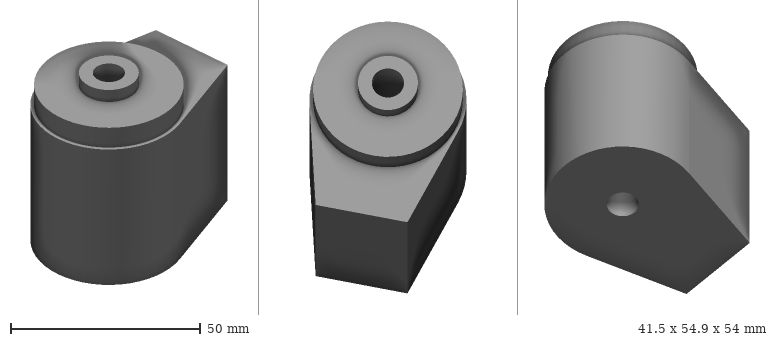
import cadquery as cq
import math

total_length = 54.85
total_height = 53.95

body_diameter = 41.5
body_height = 43.75
back_width = 24.8

collar_diameter = 39.6
collar_height = 6.35
boss_diameter = 15.85
boss_height = total_height - body_height - collar_height

bore_diameter = 8.5

body_radius = body_diameter / 2
back_y = total_length - body_radius
back_half_width = back_width / 2


def tangent_point(x, y, radius):
    """Point where the right-hand line from (x, y) touches a circle about the origin."""
    angle = math.atan2(y, x) - math.acos(radius / math.hypot(x, y))
    return radius * math.cos(angle), radius * math.sin(angle)


def make_body():
    side_x, side_y = tangent_point(back_half_width, back_y, body_radius)
    return (
        cq.Workplane("XY")
        .moveTo(-back_half_width, back_y)
        .lineTo(back_half_width, back_y)
        .lineTo(side_x, side_y)
        .threePointArc((0, -body_radius), (-side_x, side_y))
        .close()
        .extrude(body_height)
    )


def make_disc(diameter, height, base_z):
    return cq.Workplane("XY").workplane(offset=base_z).circle(diameter / 2).extrude(height)


collar = make_disc(collar_diameter, collar_height, body_height)
boss = make_disc(boss_diameter, boss_height, body_height + collar_height)
bore = make_disc(bore_diameter, total_height, 0)
result = make_body().union(collar).union(boss).cut(bore)